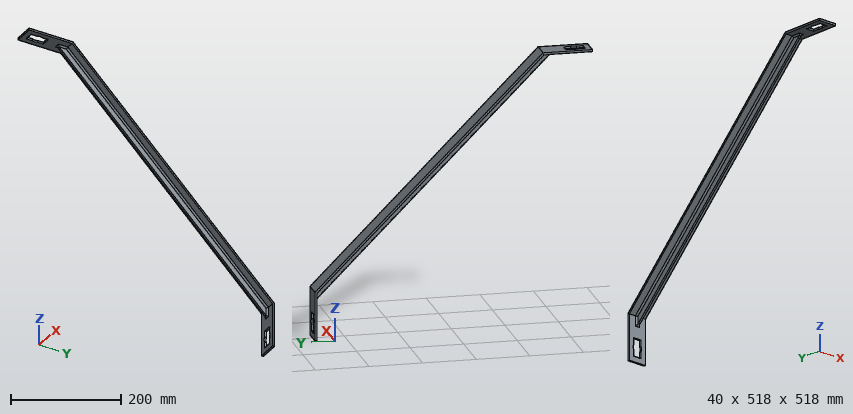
import cadquery as cq
import math

span = 518.0
width = 40.0
thickness = 4.0

flange_length = 92.0
slot_width = 17.0
slot_length = 36.0
relief_diameter = 20.0
slot_center = 29.0

rib_depth = 14.0
rib_thickness = 4.0
weld_leg = 3.0

half = span / 2
inner = half - thickness
outer_bend = half - flange_length
inner_bend = outer_bend + thickness * math.tan(math.pi / 8)
rib_tip = inner_bend + rib_depth * math.sqrt(2)


def side_extrusion(points, depth):
    """Extrude a (Y, Z) outline symmetrically about the plane X = 0."""
    return cq.Workplane("YZ").polyline(points).close().extrude(depth / 2, both=True)


def make_strip():
    """Bent flat strip: horizontal flange, 45 degree strut, vertical flange."""
    return side_extrusion(
        [
            (-half, half),
            (-outer_bend, half),
            (half, -outer_bend),
            (half, -half),
            (inner, -half),
            (inner, -inner_bend),
            (-inner_bend, inner),
            (-half, inner),
        ],
        width,
    )


def rib_outline(inset, extension=0.0):
    """Rib outline inset from the strip, optionally extended beyond its free edge."""
    reach = inner - inset
    root = inner_bend + inset * math.tan(math.pi / 8)
    tip = rib_tip - inset + extension
    return [(-root, reach), (reach, -root), (reach, -tip), (-tip, reach)]


def make_rib():
    """Rib web with a 45 degree weld bead along the strut and both flanges."""
    rib = side_extrusion(rib_outline(0), rib_thickness + 2 * weld_leg)
    clearance = (
        cq.Workplane("YZ", origin=(rib_thickness / 2, 0, 0))
        .polyline(rib_outline(weld_leg, weld_leg))
        .close()
        .workplane(offset=weld_leg)
        .polyline(rib_outline(0, weld_leg))
        .close()
        .loft(ruled=True)
    )
    return rib.cut(clearance).cut(clearance.mirror("YZ"))


def slot_cutter(plane):
    """Slot with a round relief, long side along the plane's local Y axis."""
    slot = plane.rect(slot_width, slot_length).extrude(thickness, both=True)
    relief = plane.circle(relief_diameter / 2).extrude(thickness, both=True)
    return slot.union(relief)


slot_position = half - slot_center
horizontal_flange = cq.Workplane("XY", origin=(0, -slot_position, half - thickness / 2))
vertical_flange = cq.Workplane("XZ", origin=(0, half - thickness / 2, -slot_position))

result = make_strip().union(make_rib())
for flange in (horizontal_flange, vertical_flange):
    result = result.cut(slot_cutter(flange))